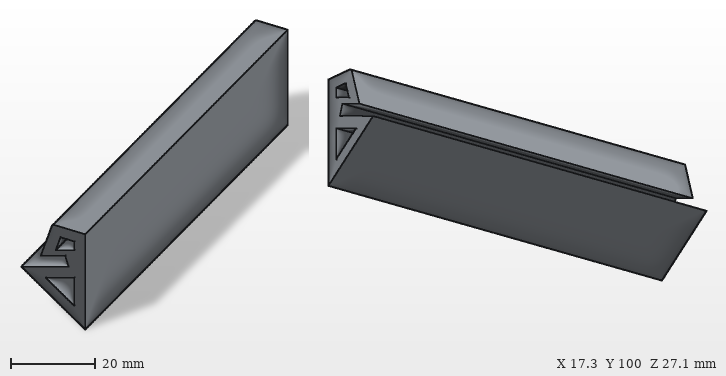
import cadquery as cq
import math

length = 100.0
depth = 17.3
height = 27.1

wall = 3.0
lip_angle = math.radians(17.5)
lip_tip_z = -14.7
slot_width = 3.0
slot_end_x = -4.5
nose_x = -12.0
web = 1.5
edge_radius = 1.0

lip_slope = math.tan(lip_angle)
underside_slope = (height + lip_tip_z) / depth


def lip_z(x, offset=0.0):
    """Height at x on a line parallel to the lip, offset square to it."""
    return lip_tip_z + (x + depth) * lip_slope + offset / math.cos(lip_angle)


def cavity_underside_z(x):
    """Height at x on the lower cavity's floor, one wall above the underside."""
    return -height - x * underside_slope + wall * math.hypot(1, underside_slope)


def front_x(z, offset=0.0):
    """Position at height z on a line parallel to the leaning front face, offset square to it."""
    return nose_x + (z - nose_z) * lip_slope + offset / math.cos(lip_angle)


def prism(points):
    """Extrude an XZ outline over the full length, centred on Y = 0."""
    return cq.Workplane("XZ").polyline(points).close().extrude(length / 2, both=True)


nose_z = lip_z(nose_x, slot_width)

slot_inner_bottom = (slot_end_x, lip_z(slot_end_x))
slot_inner_top = (
    slot_end_x - slot_width * math.sin(lip_angle),
    slot_inner_bottom[1] + slot_width * math.cos(lip_angle),
)
front_top_x = front_x(0)
body = prism([
    (0, 0),
    (front_top_x, 0),
    (nose_x, nose_z),
    slot_inner_top,
    slot_inner_bottom,
    (-depth, lip_tip_z),
    (0, -height),
])

body = body.edges(cq.selectors.NearestToPointSelector((front_top_x, 0, 0))).fillet(edge_radius)

floor_offset = slot_width + web
cavity_front_top_x = front_x(-wall, wall)
corner_drop = -wall - lip_z(cavity_front_top_x, floor_offset)
corner_z = -wall - corner_drop / (1 - lip_slope**2)
upper_cavity = prism([
    (-wall, -wall),
    (cavity_front_top_x, -wall),
    (front_x(corner_z, wall), corner_z),
    (-wall, lip_z(-wall, floor_offset)),
])

roof_height = lip_z(-wall, -wall)
floor_height = cavity_underside_z(-wall)
cavity_depth = (roof_height - floor_height) / (lip_slope + underside_slope)
cavity_tip_x = -wall - cavity_depth
lower_cavity = prism([
    (-wall, roof_height),
    (cavity_tip_x, lip_z(cavity_tip_x, -wall)),
    (-wall, floor_height),
])

result = body.cut(upper_cavity).cut(lower_cavity)